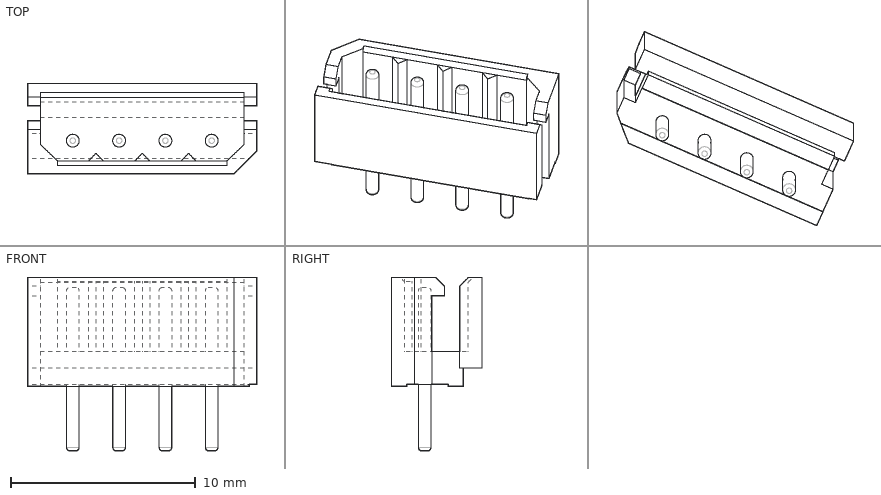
import cadquery as cq

length = 12.4
depth = 4.9
height = 5.9

end_wall = 0.68
floor_top = 1.9
cavity_front = 0.7
cavity_back = 4.14
cavity_corner_x = 0.94
cavity_corner_y = 0.9
front_lead_in = 0.24
back_lead_in = 0.27
outer_corner = 1.24

front_depth = 2.18
hook_reach = 2.88
hook_bottom = 4.9
edge_chamfer = 0.48
base_back = 3.89
back_wall_front = 3.68
back_wall_bottom = 0.99

relief_start = 0.83
relief_end = 3.06
relief_height = 0.11

pin_count = 4
pin_pitch = 2.5
pin_diameter = 0.7
pin_y = 1.8
pin_top = 5.36
pin_bottom = -3.5
pin_rounding = 0.2
rib_half_width = 0.41
rib_depth = 0.42


def block(x0, x1, y0, y1, z0, z1):
    """Box between opposite corners."""
    return cq.Workplane("XY").box(x1 - x0, y1 - y0, z1 - z0, centered=False).translate((x0, y0, z0))


def side_extrusion(points, x0, x1):
    """Extrude a (Y, Z) outline along X."""
    return cq.Workplane("YZ").workplane(offset=x0).polyline(points).close().extrude(x1 - x0)


def centred_positions(count):
    """X positions of a row at the pin pitch, centred on the housing."""
    return [length / 2 + (i - (count - 1) / 2) * pin_pitch for i in range(count)]


def make_shell():
    """Front part with hooked ends, joined by the base to the back wall."""
    front = side_extrusion(
        [
            (0, 0),
            (front_depth, 0),
            (front_depth, hook_bottom),
            (hook_reach, hook_bottom),
            (hook_reach, height - edge_chamfer),
            (hook_reach - edge_chamfer, height),
            (0, height),
        ],
        0,
        length,
    )
    back = side_extrusion(
        [
            (back_wall_front, back_wall_bottom),
            (depth, back_wall_bottom),
            (depth, height),
            (back_wall_front + edge_chamfer, height),
            (back_wall_front, height - edge_chamfer),
        ],
        0,
        length,
    )
    base = block(end_wall, length - end_wall, 0, base_back, 0, floor_top)
    return front.union(back).union(base)


def make_cavity():
    """Open-topped cavity with bevelled front corners and lead-ins on the long walls."""
    left = end_wall
    right = length - end_wall
    corner_y = cavity_front + cavity_corner_y
    cavity = (
        cq.Workplane("XY")
        .workplane(offset=floor_top)
        .polyline(
            [
                (left + cavity_corner_x, cavity_front),
                (right - cavity_corner_x, cavity_front),
                (right, corner_y),
                (right, cavity_back),
                (left, cavity_back),
                (left, corner_y),
            ]
        )
        .close()
        .extrude(height - floor_top)
    )
    front_bevel = side_extrusion(
        [
            (cavity_front, height - front_lead_in),
            (cavity_front, height),
            (cavity_front - front_lead_in, height),
        ],
        left + cavity_corner_x,
        right - cavity_corner_x,
    )
    back_bevel = side_extrusion(
        [
            (cavity_back, height - back_lead_in),
            (cavity_back, height),
            (cavity_back + back_lead_in, height),
        ],
        left,
        right,
    )
    return cavity.union(front_bevel).union(back_bevel)


def make_corner_cut():
    """Vertical bevel on the front right corner."""
    return (
        cq.Workplane("XY")
        .polyline([(length - outer_corner, 0), (length, 0), (length, outer_corner)])
        .close()
        .extrude(height)
    )


def make_rib(x):
    """Triangular rib on the inside of the front wall, ending below the lead-in."""
    return (
        cq.Workplane("XY")
        .workplane(offset=floor_top)
        .polyline(
            [
                (x - rib_half_width, cavity_front),
                (x + rib_half_width, cavity_front),
                (x, cavity_front + rib_depth),
            ]
        )
        .close()
        .extrude(height - front_lead_in - floor_top)
    )


def make_pin(x):
    """Round pin with both ends rounded."""
    return (
        cq.Workplane("XY", origin=(x, pin_y, pin_bottom))
        .circle(pin_diameter / 2)
        .extrude(pin_top - pin_bottom)
        .faces("<Z or >Z")
        .edges()
        .fillet(pin_rounding)
    )


result = make_shell().cut(make_cavity()).cut(make_corner_cut())
result = result.cut(block(0, length, relief_start, relief_end, 0, relief_height))

for rib_x in centred_positions(pin_count - 1):
    result = result.union(make_rib(rib_x))

for pin_x in centred_positions(pin_count):
    result = result.union(make_pin(pin_x))